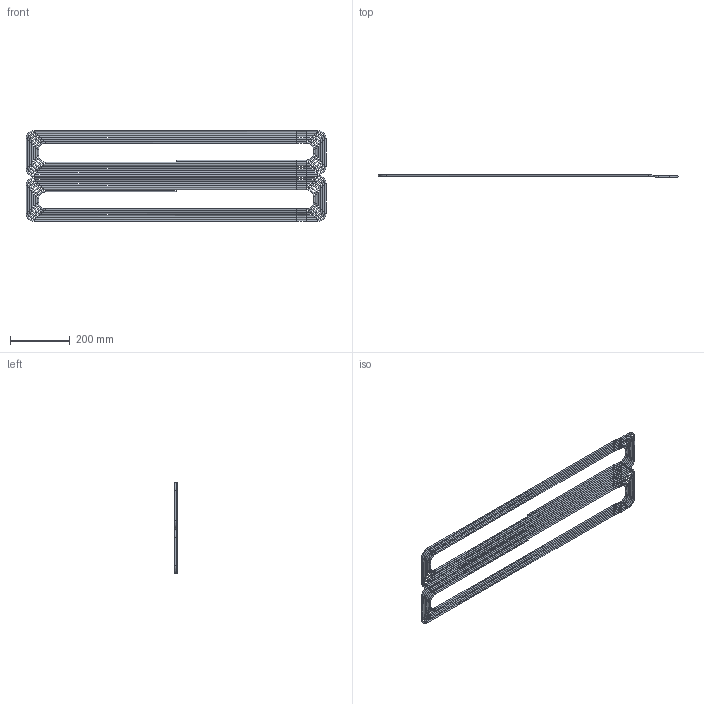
import cadquery as cq

wire_diameter = 4.3
turns = 7
coil_length = 1000.0
coil_height = 300.0
outer_gap = 2.0
middle_gap = 3.0
bend_radius = 25.0
jog_length = 33.2
coincident = 1e-6

outer_pitch = wire_diameter + outer_gap
middle_pitch = wire_diameter + middle_gap
main_layer_y = wire_diameter / 2
end_layer_y = -wire_diameter / 2

innermost_leg_x = coil_length / 2 - (turns - 1) * outer_pitch
jog_end_x = innermost_leg_x - bend_radius
jog_start_x = jog_end_x - jog_length


def layer_y(x):
    """Y of the wire centreline on either side of the step."""
    return end_layer_y if x >= jog_end_x else main_layer_y


def place(x, z):
    """Point of the winding on the layer that belongs to x."""
    return cq.Vector(x, layer_y(x), z)


def upper_loop_corners():
    """Sharp (x, z) corners of the upper loop, from its free inner end out to the middle run."""
    corners = [(0.0, turns * middle_pitch)]
    for turn in reversed(range(turns)):
        leg_x = coil_length / 2 - turn * outer_pitch
        top_z = coil_height / 2 - turn * outer_pitch
        corners += [
            (leg_x, (turn + 1) * middle_pitch),
            (leg_x, top_z),
            (-leg_x, top_z),
            (-leg_x, turn * middle_pitch),
        ]
    return corners


def figure_eight_corners():
    """Upper loop followed by the lower loop, which is the upper one turned half round about Y."""
    upper = upper_loop_corners()
    lower = [(-x, -z) for x, z in reversed(upper)]
    return upper + lower


def jog(x_from, x_to, z):
    """S-shaped step between the layers, level with the run at both ends."""
    start = place(x_from, z)
    end = place(x_to, z)
    handle = cq.Vector((x_to - x_from) / 3, 0, 0)
    return cq.Edge.makeBezier([start, start + handle, end - handle, end])


def straight(start, end):
    """Line between two points, or nothing where they coincide."""
    if (end - start).Length < coincident:
        return []
    return [cq.Edge.makeLine(start, end)]


def run(start, end):
    """Edges from start to end, with a step wherever the run changes layer."""
    if abs(end.y - start.y) < coincident:
        return straight(start, end)
    z = start.z
    if start.x < end.x:
        jog_from, jog_to = jog_start_x, jog_end_x
    else:
        jog_from, jog_to = jog_end_x, jog_start_x
    before = straight(start, place(jog_from, z))
    after = straight(place(jog_to, z), end)
    return before + [jog(jog_from, jog_to, z)] + after


def direction(start, end):
    """Unit vector in XZ between two (x, z) points."""
    return cq.Vector(end[0] - start[0], 0, end[1] - start[1]).normalized()


def round_corner(previous, corner, following):
    """Quarter arc that replaces a sharp (x, z) corner, flat on the layer of that corner."""
    into = direction(previous, corner)
    out = direction(corner, following)
    start = place(*corner) - into * bend_radius
    end = place(*corner) + out * bend_radius
    centre = start + out * bend_radius
    midpoint = centre + (into - out).normalized() * bend_radius
    return cq.Edge.makeThreePointArc(start, midpoint, end)


def wire_centreline():
    """Continuous path from the upper free end to the lower free end."""
    corners = figure_eight_corners()
    edges = []
    position = place(*corners[0])
    for previous, corner, following in zip(corners, corners[1:], corners[2:]):
        bend = round_corner(previous, corner, following)
        edges += run(position, bend.startPoint())
        edges.append(bend)
        position = bend.endPoint()
    edges += run(position, place(*corners[-1]))
    return cq.Wire.assembleEdges(edges)


def sweep_wire(path):
    """Round section carried along the centreline."""
    section = cq.Workplane(cq.Plane(origin=path.startPoint(), normal=path.tangentAt(0)))
    return section.circle(wire_diameter / 2).sweep(cq.Workplane(path))


result = sweep_wire(wire_centreline())